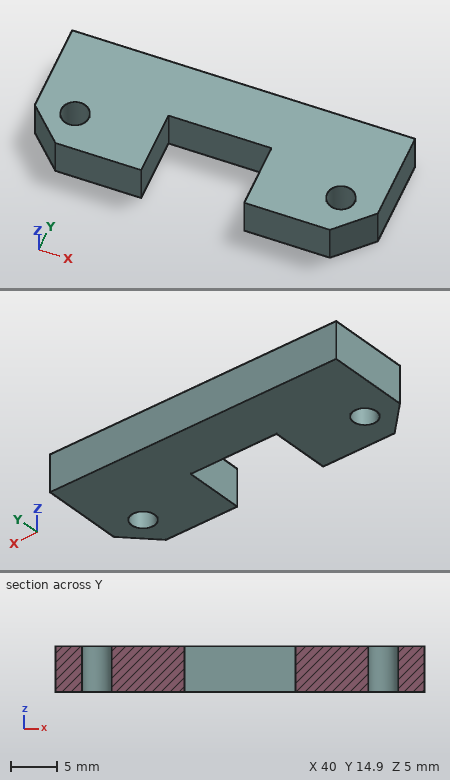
import cadquery as cq

length = 40.0
depth = 14.95
thickness = 5.0

notch_width = 12.0
notch_depth = 8.0

corner_chamfer = 4.0

hole_diameter = 3.2
hole_spacing = 31.0
hole_from_front = 4.5

front_y = -depth / 2


def make_plate():
    """Flat plate with its two front vertical edges chamfered."""
    plate = cq.Workplane("XY").box(length, depth, thickness, centered=(True, True, False))
    return plate.faces("<Y").edges("|Z").chamfer(corner_chamfer)


def make_notch():
    """Block that opens the front edge through the full thickness."""
    return (
        cq.Workplane("XY")
        .box(notch_width, notch_depth, thickness, centered=(True, False, False))
        .translate((0, front_y, 0))
    )


def make_holes():
    """Pair of pins that cut the through holes."""
    hole_y = front_y + hole_from_front
    centres = [(side * hole_spacing / 2, hole_y) for side in (-1, 1)]
    return cq.Workplane("XY").pushPoints(centres).circle(hole_diameter / 2).extrude(thickness)


result = make_plate().cut(make_notch()).cut(make_holes())